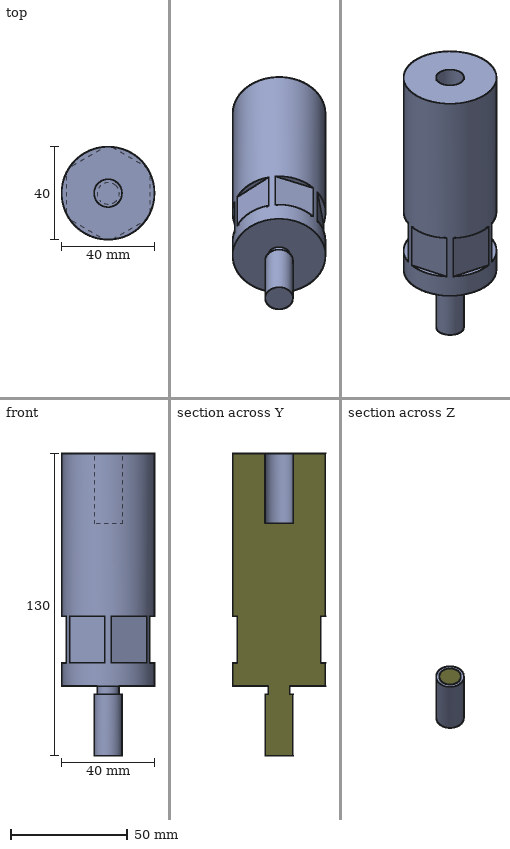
import cadquery as cq

stud_diameter = 12.0
stud_length = 30.0
neck_diameter = 9.4
neck_length = 3.5

body_diameter = 40.0
body_length = 100.0

flat_count = 6
across_flats = 36.0
flats_height = 20.0
collar_height = 10.0

hole_diameter = stud_diameter
hole_depth = stud_length

flats_bottom = stud_length + collar_height
body_top = stud_length + body_length


def cylinder(diameter, length, bottom):
    """Upright cylinder on the Z axis."""
    return cq.Workplane("XY").workplane(offset=bottom).circle(diameter / 2).extrude(length)


def cut_wrench_flats(body):
    """Mill flats whose normals start at +X and repeat around the Z axis."""
    cut_depth = (body_diameter - across_flats) / 2
    cutter = (
        cq.Workplane("XY")
        .box(cut_depth, body_diameter, flats_height, centered=(False, True, False))
        .translate((across_flats / 2, 0, flats_bottom))
    )
    for index in range(flat_count):
        angle = index * 360.0 / flat_count
        body = body.cut(cutter.rotate((0, 0, 0), (0, 0, 1), angle))
    return body


def make_stud():
    """Stud with a narrower neck where it meets the body."""
    shank_length = stud_length - neck_length
    shank = cylinder(stud_diameter, shank_length, 0)
    neck = cylinder(neck_diameter, neck_length, shank_length)
    return shank.union(neck)


body = cut_wrench_flats(cylinder(body_diameter, body_length, stud_length))
hole = cylinder(hole_diameter, hole_depth, body_top - hole_depth)
result = body.cut(hole).union(make_stud())